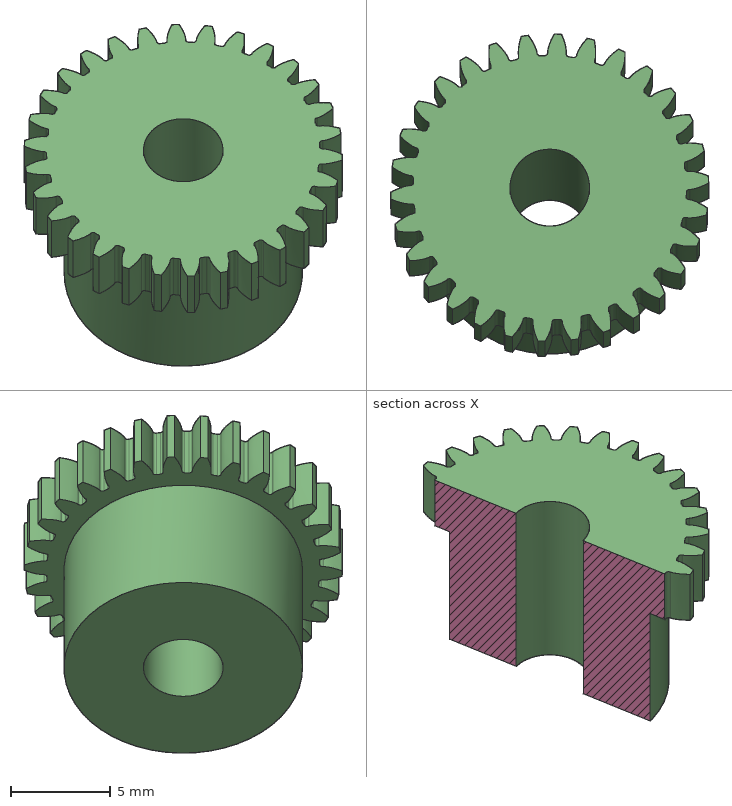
import cadquery as cq
import math

module = 0.5
tooth_count = 30
pressure_angle = math.radians(20)
root_fillet = 0.15
gear_width = 3.0
hub_diameter = 12.0
hub_length = 7.0
bore_diameter = 4.0

dedendum_factor = 1.25
addendum = module
dedendum = dedendum_factor * module
pitch_radius = module * tooth_count / 2
tip_radius = pitch_radius + addendum
root_radius = pitch_radius - dedendum
base_radius = pitch_radius * math.cos(pressure_angle)

tooth_pitch = 2 * math.pi / tooth_count
first_tooth_angle = math.pi
base_half_angle = tooth_pitch / 4 + math.tan(pressure_angle) - pressure_angle
involute_steps = 6

fillet_centre_radius = root_radius + root_fillet
fillet_span = math.asin(root_fillet / fillet_centre_radius)
fillet_end_radius = fillet_centre_radius * math.cos(fillet_span)


def polar(radius, angle):
    return (radius * math.cos(angle), radius * math.sin(angle))


def half_angle(radius):
    """Half the angular tooth thickness at a radius on the involute."""
    roll = math.acos(min(1.0, base_radius / radius))
    return base_half_angle - (math.tan(roll) - roll)


def flank_points(axis_angle, side):
    """Involute points from base to tip; side is -1 for the leading flank, +1 for the trailing one."""
    points = []
    for i in range(involute_steps + 1):
        radius = base_radius + (tip_radius - base_radius) * (i / involute_steps) ** 2
        points.append(polar(radius, axis_angle + side * half_angle(radius)))
    return points


def fillet_points(axis_angle, side):
    """Start, middle and end of a root fillet, from the root circle to the flank foot."""
    centre_angle = axis_angle + side * (base_half_angle + fillet_span)
    centre_x, centre_y = polar(fillet_centre_radius, centre_angle)
    start = polar(root_radius, centre_angle)
    end = polar(fillet_end_radius, axis_angle + side * base_half_angle)
    mid_x = (start[0] + end[0]) / 2 - centre_x
    mid_y = (start[1] + end[1]) / 2 - centre_y
    stretch = root_fillet / math.hypot(mid_x, mid_y)
    middle = (centre_x + mid_x * stretch, centre_y + mid_y * stretch)
    return start, middle, end


def add_tooth(outline, axis_angle):
    """Extend the outline over one tooth and across the root of the gap after it."""
    _, lead_middle, lead_end = fillet_points(axis_angle, -1)
    rising = flank_points(axis_angle, -1)
    falling = flank_points(axis_angle, 1)[::-1]
    trail_start, trail_middle, trail_end = fillet_points(axis_angle, 1)
    next_start = fillet_points(axis_angle + tooth_pitch, -1)[0]

    outline = outline.threePointArc(lead_middle, lead_end)
    outline = outline.lineTo(*rising[0]).spline(rising[1:], includeCurrent=True)
    outline = outline.threePointArc(polar(tip_radius, axis_angle), falling[0])
    outline = outline.spline(falling[1:], includeCurrent=True).lineTo(*trail_end)
    outline = outline.threePointArc(trail_middle, trail_start)
    return outline.threePointArc(polar(root_radius, axis_angle + tooth_pitch / 2), next_start)


def make_gear():
    """Toothed rim sitting on top of the hub."""
    start = fillet_points(first_tooth_angle, -1)[0]
    outline = cq.Workplane("XY").workplane(offset=hub_length).moveTo(*start)
    for i in range(tooth_count):
        outline = add_tooth(outline, first_tooth_angle + i * tooth_pitch)
    return outline.close().extrude(gear_width)


def make_hub():
    return cq.Workplane("XY").circle(hub_diameter / 2).extrude(hub_length)


def make_bore():
    return cq.Workplane("XY").circle(bore_diameter / 2).extrude(hub_length + gear_width)


result = make_hub().union(make_gear()).cut(make_bore())